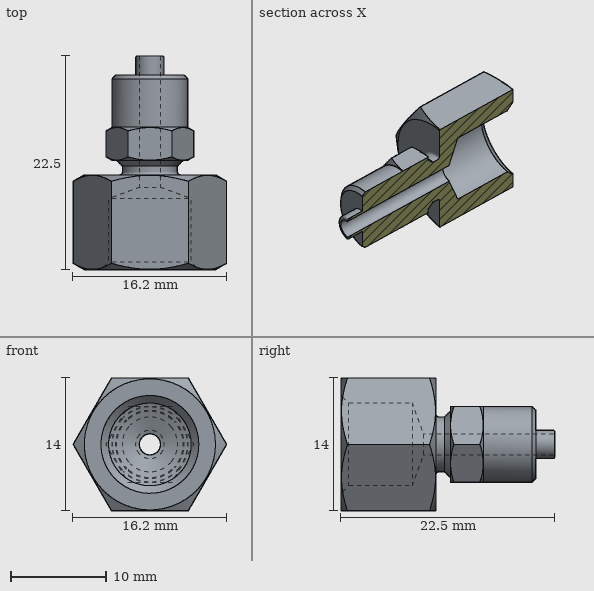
import cadquery as cq
import math


NUT_LENGTH = 10.0
NECK_LENGTH = 1.5
COLLAR_LENGTH = 3.5
BODY_LENGTH = 5.5
SPIGOT_LENGTH = 2.0

HEX_SIDES = 6
NUT_ACROSS_FLATS = 14.0
COLLAR_ACROSS_FLATS = 8.0
BODY_DIAMETER = 8.0
NECK_DIAMETER = 5.8
SPIGOT_DIAMETER = 3.0

HEX_CHAMFER_ANGLE = 30.0
NUT_FACE_DIAMETER = 13.8
COLLAR_FACE_DIAMETER = 7.9
BODY_CHAMFER = 0.4
SPIGOT_FILLET = 0.2
NECK_FLARE = 0.6
NECK_FILLET = 0.3

PORT_DIAMETER = 8.7
PORT_MOUTH_DIAMETER = 10.3
PORT_DEPTH = 7.5
PORT_TIP_ANGLE = 140.0
PASSAGE_DIAMETER = 2.2

NUT_START = 0.0
NECK_START = NUT_START + NUT_LENGTH
COLLAR_START = NECK_START + NECK_LENGTH
BODY_START = COLLAR_START + COLLAR_LENGTH
SPIGOT_START = BODY_START + BODY_LENGTH
SPIGOT_END = SPIGOT_START + SPIGOT_LENGTH


def revolve_about_axis(profile):
    """Turn a closed (radius, Y) profile once around the Y axis."""
    return profile.close().revolve(360, (0, 0, 0), (0, 1, 0))


def chamfered_hexagon(start, length, across_flats, face_diameter):
    """Hexagon along Y, corners on X, with both ends turned to a cone."""
    corner_radius = across_flats / 2 / math.cos(math.pi / HEX_SIDES)
    face_radius = face_diameter / 2
    chamfer = (corner_radius - face_radius) * math.tan(math.radians(HEX_CHAMFER_ANGLE))
    end = start + length
    prism = (
        cq.Workplane("XZ", origin=(0, start, 0))
        .polygon(HEX_SIDES, 2 * corner_radius)
        .extrude(-length)
    )
    envelope = revolve_about_axis(
        cq.Workplane("XY")
        .moveTo(0, start)
        .lineTo(face_radius, start)
        .lineTo(corner_radius, start + chamfer)
        .lineTo(corner_radius, end - chamfer)
        .lineTo(face_radius, end)
        .lineTo(0, end)
    )
    return prism.intersect(envelope)


def neck():
    """Narrow neck: filleted into the nut, flared at 45 degrees into the collar."""
    radius = NECK_DIAMETER / 2
    fillet_bend = NECK_FILLET * (1 - math.sqrt(0.5))
    return revolve_about_axis(
        cq.Workplane("XY")
        .moveTo(0, NECK_START)
        .lineTo(radius + NECK_FILLET, NECK_START)
        .threePointArc(
            (radius + fillet_bend, NECK_START + fillet_bend),
            (radius, NECK_START + NECK_FILLET),
        )
        .lineTo(radius, COLLAR_START - NECK_FLARE)
        .lineTo(radius + NECK_FLARE, COLLAR_START)
        .lineTo(0, COLLAR_START)
    )


def cylinder(start, length, diameter):
    """Plain cylinder along Y."""
    return cq.Workplane("XZ", origin=(0, start, 0)).circle(diameter / 2).extrude(-length)


def round_body():
    """Round body with a 45 degree chamfer on its far end."""
    body = cylinder(BODY_START, BODY_LENGTH, BODY_DIAMETER)
    return body.faces(">Y").edges().chamfer(BODY_CHAMFER)


def end_spigot():
    """Slim end tube with a rounded far rim."""
    spigot = cylinder(SPIGOT_START, SPIGOT_LENGTH, SPIGOT_DIAMETER)
    return spigot.faces(">Y").edges().fillet(SPIGOT_FILLET)


def stepped_bore():
    """Countersunk port with a conical bottom, then a passage to the far end."""
    port_radius = PORT_DIAMETER / 2
    mouth_radius = PORT_MOUTH_DIAMETER / 2
    passage_radius = PASSAGE_DIAMETER / 2
    mouth_depth = mouth_radius - port_radius
    tip_depth = (port_radius - passage_radius) / math.tan(math.radians(PORT_TIP_ANGLE / 2))
    return revolve_about_axis(
        cq.Workplane("XY")
        .moveTo(0, NUT_START)
        .lineTo(mouth_radius, NUT_START)
        .lineTo(port_radius, NUT_START + mouth_depth)
        .lineTo(port_radius, NUT_START + PORT_DEPTH)
        .lineTo(passage_radius, NUT_START + PORT_DEPTH + tip_depth)
        .lineTo(passage_radius, SPIGOT_END)
        .lineTo(0, SPIGOT_END)
    )


nut = chamfered_hexagon(NUT_START, NUT_LENGTH, NUT_ACROSS_FLATS, NUT_FACE_DIAMETER)
collar = chamfered_hexagon(COLLAR_START, COLLAR_LENGTH, COLLAR_ACROSS_FLATS, COLLAR_FACE_DIAMETER)

result = nut.union(neck()).union(collar).union(round_body()).union(end_spigot()).cut(stepped_bore())